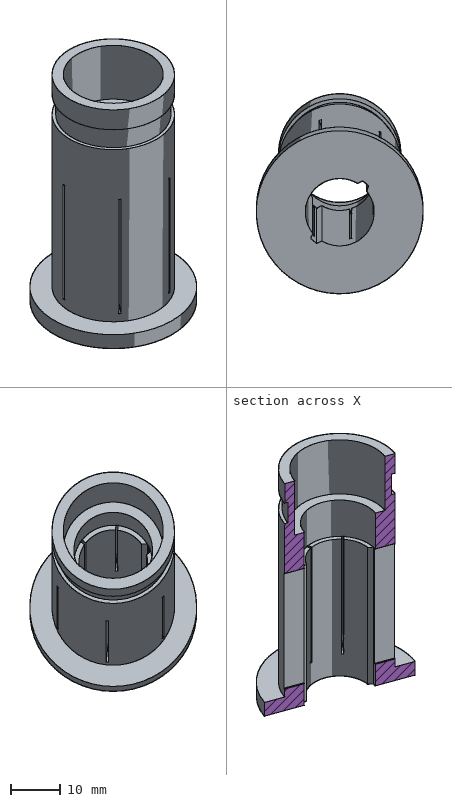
import cadquery as cq

total_height = 56.5
flange_diameter = 34.0
flange_thickness = 3.5
body_diameter = 25.0

collar_height = 5.0
groove_height = 5.0
groove_diameter = 23.5

mouth_diameter = 20.35
mouth_depth = 13.45
middle_diameter = 16.0
small_diameter = 14.0

slot_count = 6
slot_width = 0.45
slot_bottom = 5.5
slot_top = 34.0
small_bore_top = slot_top

keyway_inner_width = 2.8
keyway_outer_width = 1.6
keyway_inner_radius = 6.45
keyway_angles = (0, 180)


def cylinder(diameter, bottom, top):
    """Cylinder on the Z axis between two heights."""
    return cq.Workplane("XY").workplane(offset=bottom).circle(diameter / 2).extrude(top - bottom)


def sleeve():
    """Flanged body with its retaining groove."""
    groove_top = total_height - collar_height
    groove_bottom = groove_top - groove_height
    flange = cylinder(flange_diameter, 0, flange_thickness)
    lower_body = cylinder(body_diameter, 0, groove_bottom)
    groove_core = cylinder(groove_diameter, groove_bottom, groove_top)
    collar = cylinder(body_diameter, groove_top, total_height)
    return flange.union(lower_body).union(groove_core).union(collar)


def bore():
    """Three-step hole through the full height."""
    mouth_bottom = total_height - mouth_depth
    small = cylinder(small_diameter, 0, small_bore_top)
    middle = cylinder(middle_diameter, small_bore_top, mouth_bottom)
    mouth = cylinder(mouth_diameter, mouth_bottom, total_height)
    return small.union(middle).union(mouth)


def slot(angle):
    """Radial slot through one side of the wall, turned from the +Y side."""
    return (
        cq.Workplane("XY")
        .workplane(offset=slot_bottom)
        .center(0, body_diameter / 4)
        .rect(slot_width, body_diameter / 2 + slot_width)
        .extrude(slot_top - slot_bottom)
        .rotate((0, 0, 0), (0, 0, 1), angle)
    )


def keyway(angle):
    """Keyway narrowing outwards to the middle bore, turned from the +Y side."""
    outer_radius = middle_diameter / 2
    wedge = (
        cq.Workplane("XY")
        .moveTo(-keyway_inner_width / 2, keyway_inner_radius)
        .lineTo(keyway_inner_width / 2, keyway_inner_radius)
        .lineTo(keyway_outer_width / 2, outer_radius)
        .lineTo(-keyway_outer_width / 2, outer_radius)
        .close()
        .extrude(small_bore_top)
    )
    return wedge.rotate((0, 0, 0), (0, 0, 1), angle)


result = sleeve().cut(bore())
for index in range(slot_count):
    result = result.cut(slot(index * 360 / slot_count))
for keyway_angle in keyway_angles:
    result = result.cut(keyway(keyway_angle))